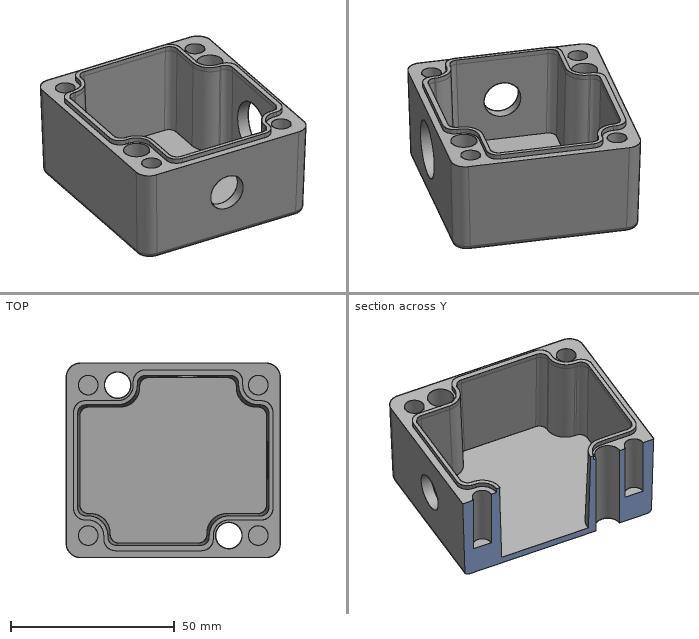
import cadquery as cq
import math

BASE_LENGTH = 64.0
BASE_WIDTH = 58.0
BODY_HEIGHT = 30.0
DRAFT_ANGLE = 1.5
CORNER_RADIUS = 4.5
BASE_FILLET = 1.5

SCREW_X = 26.0
SCREW_Y = 23.0
SCREW_DIAMETER = 6.0
SCREW_DEPTH = 20.0
MOUNT_X = 17.0
MOUNT_DIAMETER = 8.0

FLOOR_THICKNESS = 2.5
CAVITY_HALF_LENGTH = 29.25
CAVITY_HALF_WIDTH = 26.0
CAVITY_CORNER_RADIUS = 2.6
POST_RADIUS = 6.0

LIP_HEIGHT = 1.5
TOTAL_HEIGHT = BODY_HEIGHT + LIP_HEIGHT
LIP_END_THICKNESS = 1.25
LIP_SIDE_THICKNESS = 1.65
LIP_CORNER_RADIUS = 3.6
LIP_POST_RADIUS = POST_RADIUS - LIP_END_THICKNESS

OPENING_Z = 15.9
SIDE_OPENING_DIAMETER = 18.2
SIDE_OPENING_X = 4.4
END_OPENING_DIAMETER = 11.5


def draft_offset(height):
    """Sideways shift of a drafted wall over the given height."""
    return height * math.tan(math.radians(DRAFT_ANGLE))


def drafted_body():
    growth = 2 * draft_offset(BODY_HEIGHT)
    body = (
        cq.Workplane("XY")
        .rect(BASE_LENGTH, BASE_WIDTH)
        .workplane(offset=BODY_HEIGHT)
        .rect(BASE_LENGTH + growth, BASE_WIDTH + growth)
        .loft(ruled=True)
    )
    body = body.edges("not(<Z or >Z)").fillet(CORNER_RADIUS)
    return body.faces("<Z").edges().fillet(BASE_FILLET)


def notched_outline(z, end_growth, side_growth, notch_growth, corner_radius, post_radius):
    """Rounded rectangle with a notch for each corner post, at height z.

    The growths are measured outwards from the cavity outline at the sealing
    face: on the X ends, on the Y sides and on the notches. The notches at
    -X+Y and +X-Y are longer, as they also clear a mounting hole.
    """
    half_x = CAVITY_HALF_LENGTH + end_growth
    half_y = CAVITY_HALF_WIDTH + side_growth
    notch_y = SCREW_Y - POST_RADIUS + notch_growth
    short_x = SCREW_X - POST_RADIUS + notch_growth
    long_x = MOUNT_X - POST_RADIUS + notch_growth

    upper_half = [
        (half_x, notch_y),
        (short_x, notch_y),
        (short_x, half_y),
        (-long_x, half_y),
        (-long_x, notch_y),
        (-half_x, notch_y),
    ]
    lower_half = [(-x, -y) for x, y in upper_half]
    wire = cq.Wire.makePolygon([cq.Vector(x, y, z) for x, y in upper_half + lower_half], close=True)

    def is_post(vertex):
        return abs(vertex.X) < (half_x + short_x) / 2 and abs(vertex.Y) < (half_y + notch_y) / 2

    post_vertices = [v for v in wire.Vertices() if is_post(v)]
    corner_vertices = [v for v in wire.Vertices() if not is_post(v)]
    wire = wire.fillet2D(post_radius, post_vertices)
    return wire.fillet2D(corner_radius, corner_vertices)


def cavity_outline(z, growth):
    return notched_outline(z, growth, growth, growth, CAVITY_CORNER_RADIUS, POST_RADIUS)


def lip_outline(z):
    return notched_outline(
        z, LIP_END_THICKNESS, LIP_SIDE_THICKNESS, LIP_END_THICKNESS, LIP_CORNER_RADIUS, LIP_POST_RADIUS
    )


def ruled_solid(bottom_outline, top_outline):
    return cq.Workplane(cq.Solid.makeLoft([bottom_outline, top_outline], True))


def lip():
    return ruled_solid(lip_outline(BODY_HEIGHT), lip_outline(TOTAL_HEIGHT))


def cavity():
    shrinkage = draft_offset(BODY_HEIGHT - FLOOR_THICKNESS)
    drafted_part = ruled_solid(cavity_outline(FLOOR_THICKNESS, -shrinkage), cavity_outline(BODY_HEIGHT, 0))
    straight_part = ruled_solid(cavity_outline(BODY_HEIGHT, 0), cavity_outline(TOTAL_HEIGHT, 0))
    return drafted_part.union(straight_part)


def screw_holes():
    corners = [(sx * SCREW_X, sy * SCREW_Y) for sx in (-1, 1) for sy in (-1, 1)]
    face = cq.Workplane("XY", origin=(0, 0, BODY_HEIGHT))
    return face.pushPoints(corners).circle(SCREW_DIAMETER / 2).extrude(-SCREW_DEPTH)


def mounting_holes():
    centres = [(-MOUNT_X, SCREW_Y), (MOUNT_X, -SCREW_Y)]
    return cq.Workplane("XY").pushPoints(centres).circle(MOUNT_DIAMETER / 2).extrude(BODY_HEIGHT)


def side_opening():
    plane = cq.Workplane("XZ", origin=(SIDE_OPENING_X, 0, OPENING_Z))
    return plane.circle(SIDE_OPENING_DIAMETER / 2).extrude(-BASE_WIDTH)


def end_opening():
    plane = cq.Workplane("YZ", origin=(0, 0, OPENING_Z))
    return plane.circle(END_OPENING_DIAMETER / 2).extrude(BASE_LENGTH)


result = drafted_body().union(lip()).cut(cavity())
result = result.cut(screw_holes()).cut(mounting_holes())
result = result.cut(side_opening()).cut(end_opening())